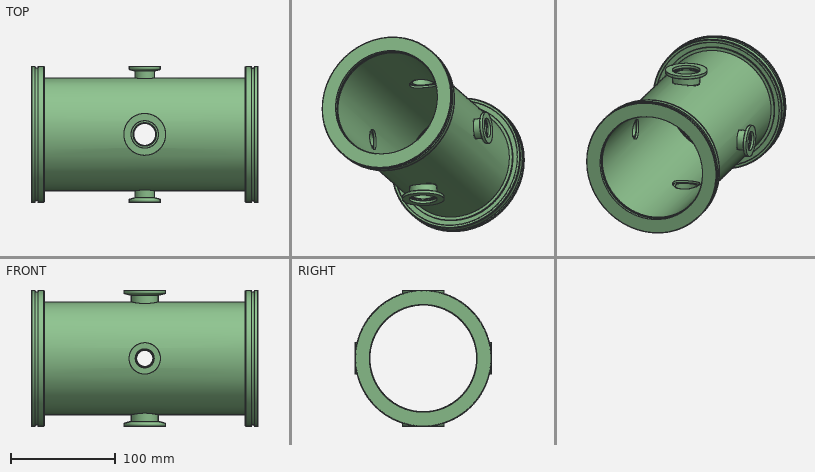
import cadquery as cq
import math

tube_outer_radius = 54.0
tube_inner_radius = 51.0
overall_length = 216.0

flange_radius = 65.0
flange_thickness = 12.0
flange_edge_chamfer = 0.7
rim_groove_start = 3.0
rim_groove_end = 6.0
rim_groove_depth = 1.5
clamp_groove_inner_radius = 57.0
clamp_groove_outer_radius = 62.0
clamp_groove_depth = 2.0
seal_recess_radius = 51.5
seal_recess_depth = 3.5
flange_bore_radius = 51.25
tube_end_depth = 5.75
tube_length = overall_length - 2 * tube_end_depth

port_reach = flange_radius
rim_thickness = 2.0
rim_round_radius = 1.3
rim_taper_angle = 15.0
neck_insertion = 1.0
mouth_depth = 2.5
step_depth = 3.7

large_rim_radius = 20.0
large_neck_radius = 13.0
large_mouth_radius = 13.1
large_step_radius = 11.2
large_bore_radius = 10.5

small_rim_radius = 15.0
small_neck_radius = 9.5
small_mouth_radius = 9.1
small_step_radius = 8.3
small_bore_radius = 7.75


def cylinder_along_x(radius, length):
    return cq.Workplane("YZ").circle(radius).extrude(length / 2, both=True)


def make_port(rim_radius, neck_radius, mouth_radius, step_radius, bore_radius):
    """Flanged port along +Z, its curved neck end seated in the wall of the main tube."""
    round_sweep = math.radians(90 - rim_taper_angle)
    round_top = port_reach - rim_thickness

    def round_point(angle):
        radius = rim_radius - rim_round_radius * (1 - math.cos(angle))
        return (radius, round_top - rim_round_radius * math.sin(angle))

    round_end = round_point(round_sweep)
    taper_height = (round_end[0] - neck_radius) * math.tan(math.radians(rim_taper_angle))
    profile = (
        cq.Workplane("XZ")
        .lineTo(neck_radius, 0)
        .lineTo(neck_radius, round_end[1] - taper_height)
        .lineTo(*round_end)
        .threePointArc(round_point(round_sweep / 2), (rim_radius, round_top))
        .lineTo(rim_radius, port_reach)
        .lineTo(0, port_reach)
        .close()
    )
    port = profile.revolve(360, (0, 0, 0), (0, 1, 0))
    hole_stages = [(mouth_radius, mouth_depth), (step_radius, step_depth), (bore_radius, port_reach)]
    for radius, depth in hole_stages:
        hole = cq.Workplane("XY").workplane(offset=port_reach - depth).circle(radius).extrude(depth)
        port = port.cut(hole)
    return port.cut(cylinder_along_x(tube_outer_radius - neck_insertion, overall_length))


def turn_about_x(body, angle):
    return body.rotate((0, 0, 0), (1, 0, 0), angle)


def make_flange():
    """Grooved flange at the -X end, bored to take the tube, with a recess at the sealing face."""
    floor_radius = flange_radius - rim_groove_depth
    clamp_groove_floor = flange_thickness - clamp_groove_depth
    arc_offset = rim_groove_depth * math.sqrt(0.5)
    arc_middle = (rim_groove_start + rim_groove_depth - arc_offset, flange_radius - arc_offset)
    profile = (
        cq.Workplane("XY")
        .moveTo(0, seal_recess_radius)
        .lineTo(0, flange_radius)
        .lineTo(rim_groove_start, flange_radius)
        .threePointArc(arc_middle, (rim_groove_start + rim_groove_depth, floor_radius))
        .lineTo(rim_groove_end, floor_radius)
        .lineTo(rim_groove_end, flange_radius)
        .lineTo(flange_thickness - flange_edge_chamfer, flange_radius)
        .lineTo(flange_thickness, flange_radius - flange_edge_chamfer)
        .lineTo(flange_thickness, clamp_groove_outer_radius)
        .lineTo(clamp_groove_floor, clamp_groove_outer_radius)
        .lineTo(clamp_groove_floor, clamp_groove_inner_radius)
        .lineTo(flange_thickness, clamp_groove_inner_radius)
        .lineTo(flange_thickness, tube_outer_radius)
        .lineTo(tube_end_depth, tube_outer_radius)
        .lineTo(tube_end_depth, flange_bore_radius)
        .lineTo(seal_recess_depth, flange_bore_radius)
        .lineTo(seal_recess_depth, seal_recess_radius)
        .close()
    )
    flange = profile.revolve(360, (0, 0, 0), (1, 0, 0))
    return flange.translate((-overall_length / 2, 0, 0))


def make_tube():
    tube = cylinder_along_x(tube_outer_radius, tube_length)
    tube = tube.cut(cylinder_along_x(tube_inner_radius, tube_length))
    large_hole = cq.Workplane("XY").circle(large_neck_radius).extrude(port_reach, both=True)
    small_hole = cq.Workplane("XZ").circle(small_neck_radius).extrude(port_reach, both=True)
    return tube.cut(large_hole).cut(small_hole)


tube = make_tube()
flanges = [make_flange().rotate((0, 0, 0), (0, 0, 1), angle) for angle in (0, 180)]

large_port = make_port(
    large_rim_radius, large_neck_radius, large_mouth_radius, large_step_radius, large_bore_radius
)
small_port = make_port(
    small_rim_radius, small_neck_radius, small_mouth_radius, small_step_radius, small_bore_radius
)
large_ports = [turn_about_x(large_port, angle) for angle in (0, 180)]
small_ports = [turn_about_x(small_port, angle) for angle in (90, 270)]

bodies = [tube, *flanges, *large_ports, *small_ports]
result = cq.Compound.makeCompound([body.val() for body in bodies])